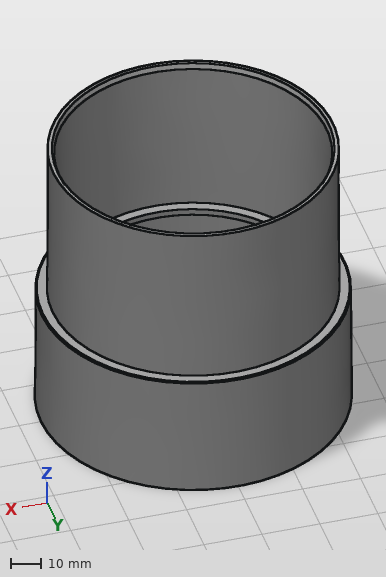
import cadquery as cq

height = 102.0
base_radius = 52.5

shoulder_height = 44.3
shoulder_radius = 52.2
shoulder_bevel = 0.4

spigot_root_radius = 48.4
spigot_top_radius = 48.2

upper_bore_root_radius = 45.6
upper_bore_top_radius = 46.0
upper_mouth_radius = 46.7
lead_in_height = 1.9

stop_radius = 42.0
stop_top = 45.0
stop_thickness = 2.3
stop_bottom = stop_top - stop_thickness

wall = spigot_root_radius - upper_bore_root_radius
lower_bore_radius = base_radius - wall

half_section = [
    (lower_bore_radius, 0),
    (base_radius, 0),
    (shoulder_radius, shoulder_height - shoulder_bevel),
    (shoulder_radius - shoulder_bevel, shoulder_height),
    (spigot_root_radius, shoulder_height),
    (spigot_top_radius, height),
    (upper_mouth_radius, height),
    (upper_bore_top_radius, height - lead_in_height),
    (upper_bore_root_radius, stop_top),
    (stop_radius, stop_top),
    (stop_radius, stop_bottom),
    (lower_bore_radius, stop_bottom),
]

result = (
    cq.Workplane("XZ")
    .polyline(half_section)
    .close()
    .revolve(360, (0, 0, 0), (0, 1, 0))
)